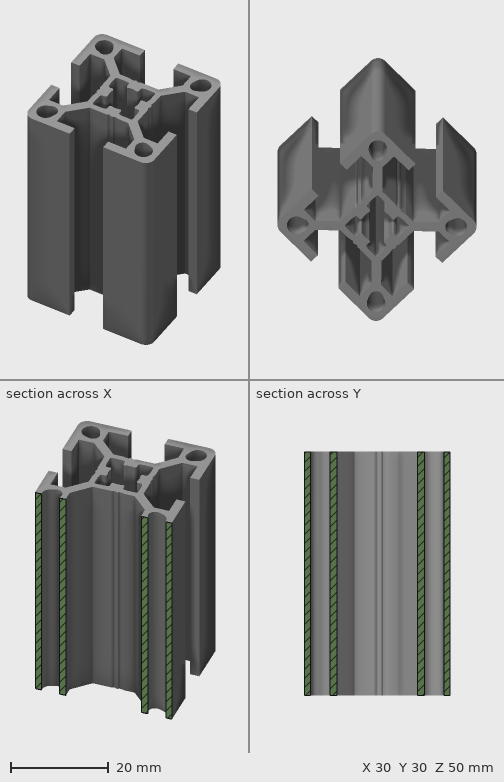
import cadquery as cq
import math

width = 30.0
length = 50.0
corner_radius = 2.0

slot_opening = 8.0
lip_thickness = 2.0
pocket_width = 16.5

core_width = 12.0
cavity_width = 9.5
web_thickness = 2.0

bore_diameter = 6.8
cavity_corner_radius = 0.35
boss_width = 2.9
boss_root_radius = 0.4
boss_ramp_start = 2.6
boss_ramp_angle = math.radians(7)
boss_tip_radius = 0.4

outer_lobe_radius = 1.9
outer_lobe_distance = 16.55
inner_lobe_radius = 1.45
inner_lobe_distance = 15.45

groove_depth = 0.25
v_groove_half_width = 0.48
tooth_start = 0.95
tooth_valley = 1.22
tooth_end = 2.41

quarter_turns = [0, 90, 180, 270]
diagonal_angle = 45
half_width = width / 2
half_core = core_width / 2
half_cavity = cavity_width / 2


def prism(sketch):
    """Extrude a closed outline over the full length of the profile."""
    return sketch.close().extrude(length)


def turned(body, angle):
    """Rotate a body about the profile axis."""
    return body.rotate((0, 0, 0), (0, 0, 1), angle)


def make_slot():
    """T-slot cutter on the -Y side, with its floor flat."""
    half_opening = slot_opening / 2
    half_pocket = pocket_width / 2
    pocket_top = half_width - lip_thickness
    web_shift = web_thickness / math.sqrt(2)
    right_side = [
        (half_opening, -half_width),
        (half_opening, -pocket_top),
        (half_pocket, -pocket_top),
        (half_pocket, -(half_pocket + web_shift)),
        (half_core - web_shift, -half_core),
    ]
    left_side = [(-x, y) for x, y in reversed(right_side)]
    return prism(cq.Workplane("XY").polyline(right_side + left_side))


def make_grooves():
    """V-groove and saw-tooth groove cut into the slot floor on the -Y side."""
    floor = -half_core
    valley = floor + groove_depth
    v_groove = [(-v_groove_half_width, floor), (v_groove_half_width, floor), (0, valley)]
    tooth = [(tooth_start, floor), (tooth_end, floor), (tooth_valley, valley)]
    v_cutter = prism(cq.Workplane("XY").polyline(v_groove))
    tooth_cutter = prism(cq.Workplane("XY").polyline(tooth))
    return v_cutter.union(tooth_cutter)


def edge_picker(x, y):
    """Selector for the two lengthwise edges at (x, y) and (-x, y)."""
    mid_height = length / 2
    right_edge = cq.selectors.NearestToPointSelector((x, y, mid_height))
    left_edge = cq.selectors.NearestToPointSelector((-x, y, mid_height))
    return right_edge + left_edge


def make_boss():
    """Boss on the -Y cavity wall: shallow ramps lead to fillets at the foot of its sides."""
    half_boss = boss_width / 2
    rise = (boss_ramp_start - half_boss) * math.tan(boss_ramp_angle)
    wall = -half_cavity
    foot = wall + rise
    outline = cq.Workplane("XY").polyline(
        [
            (-half_boss, 0),
            (-half_boss, foot),
            (-boss_ramp_start, wall),
            (boss_ramp_start, wall),
            (half_boss, foot),
            (half_boss, 0),
        ]
    )
    foot_edges = edge_picker(half_boss, foot)
    boss = prism(outline).edges(foot_edges).fillet(boss_root_radius)
    bore_radius = bore_diameter / 2
    boss = boss.cut(cq.Workplane("XY").circle(bore_radius).extrude(length))
    tip = -math.sqrt(bore_radius**2 - half_boss**2)
    return boss.edges(edge_picker(half_boss, tip)).fillet(boss_tip_radius)


def make_cavity():
    """Central cavity: the square minus the rounded bosses left around the screw bore."""
    cavity = cq.Workplane("XY").rect(cavity_width, cavity_width).extrude(length)
    cavity = cavity.edges("|Z").fillet(cavity_corner_radius)
    boss = make_boss()
    for angle in quarter_turns:
        cavity = cavity.cut(turned(boss, angle))
    return cavity


def make_corner_hole():
    """Egg-shaped hole, drawn along +X and then turned onto the diagonal."""
    cosine = (outer_lobe_radius - inner_lobe_radius) / (outer_lobe_distance - inner_lobe_distance)
    sine = math.sqrt(1 - cosine**2)
    outer_x = outer_lobe_distance - outer_lobe_radius * cosine
    outer_y = outer_lobe_radius * sine
    inner_x = inner_lobe_distance - inner_lobe_radius * cosine
    inner_y = inner_lobe_radius * sine
    outline = (
        cq.Workplane("XY")
        .moveTo(inner_x, -inner_y)
        .lineTo(outer_x, -outer_y)
        .threePointArc((outer_lobe_distance + outer_lobe_radius, 0), (outer_x, outer_y))
        .lineTo(inner_x, inner_y)
        .threePointArc((inner_lobe_distance - inner_lobe_radius, 0), (inner_x, -inner_y))
    )
    return turned(prism(outline), diagonal_angle)


def make_profile():
    """Rounded square bar with slots, grooves, corner holes and cavity removed."""
    profile = cq.Workplane("XY").rect(width, width).extrude(length)
    profile = profile.edges("|Z").fillet(corner_radius)
    cutters = [make_slot(), make_grooves(), make_corner_hole()]
    for angle in quarter_turns:
        for cutter in cutters:
            profile = profile.cut(turned(cutter, angle))
    return profile.cut(make_cavity())


result = make_profile()